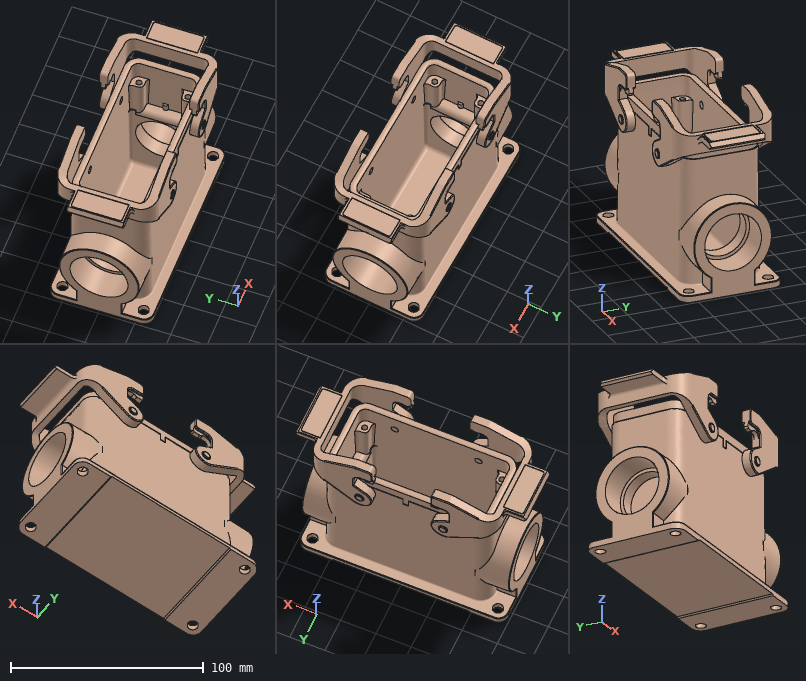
import cadquery as cq
import math

PLATE_LENGTH = 117.3
PLATE_WIDTH = 57.0
PLATE_HEIGHT = 3.8
PLATE_CORNER = 5.6
PLATE_EDGE = 0.4
UNDERCUT_LENGTH = 77.8
UNDERCUT_DEPTH = 0.8
MOUNT_HOLE_DIAMETER = 5.6
MOUNT_HOLE_X = 52.5
MOUNT_HOLE_Y = 22.4

BODY_HALF_X = 47.5
BODY_HALF_Y = 22.4
BODY_CORNER = 8.0
BODY_DRAFT = 0.5
BODY_TOP_Z = 75.0
FOOT_RADIUS = 0.9
COLLAR_HALF_X = 46.3
COLLAR_HALF_Y = 21.5
COLLAR_CORNER = 7.9
RIM_TOP_Z = 80.9
RIM_CROWN_DIAMETER = 7.0
WALL = 3.7
NOTCH_WIDTH = 3.1
NOTCH_BOTTOM_Z = 70.4

CAVITY_HALF_X = COLLAR_HALF_X - WALL
CAVITY_HALF_Y = COLLAR_HALF_Y - WALL
CAVITY_CORNER = COLLAR_CORNER - WALL
CAVITY_DRAFT = 1.0
LEDGE_Z = 48.2
LEDGE_ROUNDING = 3.3
FLOOR_Z = 3.9
FLOOR_RADIUS = 2.7
POCKET_HALF_X = 35.6
POCKET_CORNER = 1.3

BOSS_INNER_X = 36.0
BOSS_INNER_Y = 10.3
BOSS_TOP_Z = 69.0
BOSS_ROUNDING = 2.6
BOSS_ROOT_RADIUS = 2.1
SCREW_HOLE_DIAMETER = 3.0
SCREW_HOLE_DEPTH = 10.5
SCREW_TIP_ANGLE = 118.0
SCREW_X = 38.9
SCREW_Y = 13.5
POST_DIAMETER = 3.3
POST_HEIGHT = 3.9

PORT_AXIS_Z = 30.0
PORT_END_RADIUS = 22.0
PORT_DRAFT = 1.0
PORT_END_CHAMFER = 0.4
PEDESTAL_WIDTH = 24.9
PORT_BORE_DIAMETER = 32.0
PORT_BORE_DEPTH = 15.6
PORT_HOLE_DIAMETER = 28.0

PIN_X = 23.7
PIN_Z = 70.8
PIN_DIAMETER = 4.0
PIN_INNER_Y = 17.7
PIN_OUTER_Y = 28.1
PIN_RING_DIAMETER = 5.1
PIN_RING_DEPTH = 0.5
PIVOT_PAD_DIAMETER = 5.6
LOBE_RADIUS = 7.0
LOBE_MID_ANGLE = 45.0
ARM_INNER_Y = 22.5
ARM_OUTER_Y = 27.8
ARM_EDGE = 0.5
LEVER_TOP_Z = 98.8
HOOK_X = 16.6
HOOK_CORNER = 2.2
HOOK_BACK_RADIUS = 2.6
HOOK_NOSE_CHAMFER = 1.3
HOOK_BOTTOM_Z = 89.8
HOOK_SLOT_DIAMETER = 7.0
HOOK_SLOT_RADIUS = HOOK_SLOT_DIAMETER / 2
THROAT_X = 27.0
THROAT_BOTTOM_Z = 80.6
LIP_THICKNESS = 2.6
LIP_X = 16.1
LIP_BOTTOM_Z = 86.9
LIP_ROOF_Z = 88.2
LIP_TIP_SLANT = 0.5
LIP_BEAD_END_X = 20.4
LIP_ROOF_START_X = 22.3
LIP_ROOT_RADIUS = 2.9
BOW_OUTER_X = 53.0
BOW_INNER_X = 49.2
BOW_TOP_Z = 91.4
BOW_BOTTOM_Z = 80.9
BEND_RADIUS = 9.4
BEND_X = BOW_OUTER_X - BEND_RADIUS
BEND_Y = ARM_OUTER_Y - BEND_RADIUS
BEND_RAIL_POINTS = 9

TAB_TIP_X = 65.5
TAB_TIP_Z = 89.0
TAB_TOP_END_X = 63.7
TAB_BOTTOM_END_X = 64.3
TAB_BOTTOM_Z = 87.7
TAB_HALF_WIDTH = 15.6
TAB_CORNER = 1.3
TAB_TOP_EDGE = 0.4
TAB_ROOT_RADIUS = 2.0
TAB_UNDER_RADIUS = 1.6
PANEL_START_X = 51.8
PANEL_END_X = 63.0
PANEL_HALF_WIDTH = 14.0
PANEL_DEPTH = 0.4

SIDES = (-1, 1)
CORNERS = [(x_side, y_side) for x_side in SIDES for y_side in SIDES]
MARGIN = 1.3
NEAR = 0.1


def rounded_block(half_x, half_y, corner, bottom_z, top_z, draft=0.0):
    """A centred block with rounded corners; a positive draft narrows it upwards."""
    outline = cq.Sketch().rect(2 * half_x, 2 * half_y).vertices().fillet(corner)
    plane = cq.Workplane("XY").workplane(offset=bottom_z)
    return plane.placeSketch(outline).extrude(top_z - bottom_z, taper=draft)


def centred_box(length, width, bottom_z, top_z, x=0.0, y=0.0):
    box = cq.Workplane("XY").box(length, width, top_z - bottom_z, centered=(True, True, False))
    return box.translate((x, y, bottom_z))


def upright_cylinder(diameter, bottom_z, top_z, x, y):
    plane = cq.Workplane("XY").workplane(offset=bottom_z).center(x, y)
    return plane.circle(diameter / 2).extrude(top_z - bottom_z)


def y_cylinder(diameter, x, z, start_y, end_y):
    plane = cq.Workplane("XZ", origin=(x, start_y, z))
    return plane.circle(diameter / 2).extrude(start_y - end_y)




def make_plate():
    plate = rounded_block(PLATE_LENGTH / 2, PLATE_WIDTH / 2, PLATE_CORNER, 0, PLATE_HEIGHT)
    plate = plate.faces(">Z").edges().chamfer(PLATE_EDGE)
    undercut = (
        cq.Workplane("XZ")
        .moveTo(-UNDERCUT_LENGTH / 2, 0)
        .lineTo(UNDERCUT_LENGTH / 2, 0)
        .lineTo(UNDERCUT_LENGTH / 2 - UNDERCUT_DEPTH, UNDERCUT_DEPTH)
        .lineTo(-UNDERCUT_LENGTH / 2 + UNDERCUT_DEPTH, UNDERCUT_DEPTH)
        .close()
        .extrude(PLATE_WIDTH, both=True)
    )
    return plate.cut(undercut)


def make_walls():
    """Plate and solid body, with a rounded transition between them."""
    body = rounded_block(BODY_HALF_X, BODY_HALF_Y, BODY_CORNER, PLATE_HEIGHT, BODY_TOP_Z, BODY_DRAFT)
    walls = make_plate().union(body)
    foot_edges = cq.selectors.BoxSelector(
        (-BODY_HALF_X - MARGIN, -BODY_HALF_Y - MARGIN, PLATE_HEIGHT - NEAR),
        (BODY_HALF_X + MARGIN, BODY_HALF_Y + MARGIN, PLATE_HEIGHT + NEAR),
    )
    return walls.edges(foot_edges).fillet(FOOT_RADIUS)


def make_collar():
    """Straight collar above the drafted body, its rim crowned by an arc."""
    crown_axis_z = RIM_TOP_Z - RIM_CROWN_DIAMETER / 2
    collar = rounded_block(COLLAR_HALF_X, COLLAR_HALF_Y, COLLAR_CORNER, BODY_TOP_Z - MARGIN, crown_axis_z)
    crown = rounded_block(COLLAR_HALF_X, COLLAR_HALF_Y, COLLAR_CORNER, crown_axis_z, RIM_TOP_Z)
    axis_half_x = COLLAR_HALF_X - WALL / 2
    axis_half_y = COLLAR_HALF_Y - WALL / 2
    axis_corner = COLLAR_CORNER - WALL / 2
    axis = rounded_block(axis_half_x, axis_half_y, axis_corner, crown_axis_z, RIM_TOP_Z).faces("<Z").wires()
    bead = (
        cq.Workplane("XZ", origin=(0, -axis_half_y, crown_axis_z))
        .transformed(rotate=(0, 90, 0))
        .circle(RIM_CROWN_DIAMETER / 2)
        .sweep(cq.Workplane(axis.val()))
    )
    return collar.union(crown.intersect(bead))


def make_port():
    """Drafted port tube of the +X end on its pedestal, still without its bore."""
    end_x = PLATE_LENGTH / 2
    length = end_x - BODY_HALF_X + BODY_CORNER
    tube = (
        cq.Workplane("YZ", origin=(end_x, 0, PORT_AXIS_Z))
        .circle(PORT_END_RADIUS)
        .extrude(-length, taper=-PORT_DRAFT)
    )
    pedestal = centred_box(length, PEDESTAL_WIDTH, 0, PORT_AXIS_Z, x=end_x - length / 2)
    port = tube.union(pedestal)
    above_bottom = cq.selectors.BoxSelector(
        (end_x - NEAR, -BODY_HALF_Y, NEAR),
        (end_x + NEAR, BODY_HALF_Y, RIM_TOP_Z),
    )
    return port.faces(">X").edges(above_bottom).chamfer(PORT_END_CHAMFER)


def make_cavity():
    collar_part = rounded_block(
        CAVITY_HALF_X, CAVITY_HALF_Y, CAVITY_CORNER, BODY_TOP_Z, RIM_TOP_Z + MARGIN
    )
    narrowing = (BODY_TOP_Z - LEDGE_Z) * math.tan(math.radians(CAVITY_DRAFT))
    upper = rounded_block(
        CAVITY_HALF_X - narrowing, CAVITY_HALF_Y - narrowing, CAVITY_CORNER - narrowing,
        LEDGE_Z, BODY_TOP_Z, -CAVITY_DRAFT,
    )
    pocket_narrowing = (LEDGE_Z - FLOOR_Z) * math.tan(math.radians(CAVITY_DRAFT))
    pocket = rounded_block(
        POCKET_HALF_X - pocket_narrowing, CAVITY_HALF_Y - narrowing - pocket_narrowing, POCKET_CORNER,
        FLOOR_Z, LEDGE_Z, -CAVITY_DRAFT,
    )
    pocket = pocket.faces("<Z").edges().fillet(FLOOR_RADIUS)
    return collar_part.union(upper).union(pocket)


def make_ledge_rounding():
    """Material to remove from the edge of the +X ledge to round it between the screw bosses."""
    length = BOSS_INNER_Y + CAVITY_HALF_Y
    corner_block = centred_box(
        2 * LEDGE_ROUNDING, length, LEDGE_Z - LEDGE_ROUNDING, LEDGE_Z + LEDGE_ROUNDING, x=POCKET_HALF_X
    )
    rounding = y_cylinder(
        2 * LEDGE_ROUNDING, POCKET_HALF_X + LEDGE_ROUNDING, LEDGE_Z - LEDGE_ROUNDING, -length, length
    )
    return corner_block.cut(rounding)


def make_screw_boss():
    """Corner boss at +X, +Y, flared where it joins the walls; its outer sides sink into them."""
    outer_x = CAVITY_HALF_X + WALL / 4
    outer_y = CAVITY_HALF_Y + WALL / 4
    bottom_z = LEDGE_Z - LEDGE_ROUNDING
    return (
        cq.Workplane("XY", origin=(0, 0, bottom_z))
        .moveTo(BOSS_INNER_X - BOSS_ROOT_RADIUS, outer_y)
        .lineTo(outer_x, outer_y)
        .lineTo(outer_x, BOSS_INNER_Y - BOSS_ROOT_RADIUS)
        .lineTo(CAVITY_HALF_X, BOSS_INNER_Y - BOSS_ROOT_RADIUS)
        .radiusArc((CAVITY_HALF_X - BOSS_ROOT_RADIUS, BOSS_INNER_Y), -BOSS_ROOT_RADIUS)
        .lineTo(BOSS_INNER_X + BOSS_ROUNDING, BOSS_INNER_Y)
        .radiusArc((BOSS_INNER_X, BOSS_INNER_Y + BOSS_ROUNDING), BOSS_ROUNDING)
        .lineTo(BOSS_INNER_X, CAVITY_HALF_Y - BOSS_ROOT_RADIUS)
        .radiusArc((BOSS_INNER_X - BOSS_ROOT_RADIUS, CAVITY_HALF_Y), -BOSS_ROOT_RADIUS)
        .close()
        .extrude(BOSS_TOP_Z - bottom_z)
    )


def make_screw_hole():
    radius = SCREW_HOLE_DIAMETER / 2
    tip_depth = radius / math.tan(math.radians(SCREW_TIP_ANGLE / 2))
    return (
        cq.Workplane("XZ")
        .polyline([
            (0, BOSS_TOP_Z),
            (radius, BOSS_TOP_Z),
            (radius, BOSS_TOP_Z - SCREW_HOLE_DEPTH),
            (0, BOSS_TOP_Z - SCREW_HOLE_DEPTH - tip_depth),
        ])
        .close()
        .revolve(360, (0, 0, 0), (0, 1, 0))
        .translate((SCREW_X, SCREW_Y, 0))
    )


def mirrored(shape, x_side, y_side):
    """Moves a shape from the +X, +Y quarter to the given quarter."""
    if x_side < 0:
        shape = shape.mirror("YZ")
    if y_side < 0:
        shape = shape.mirror("XZ")
    return shape


def make_housing():
    housing = make_walls().union(make_collar())
    for side in SIDES:
        housing = housing.union(mirrored(make_port(), side, 1))
    housing = housing.cut(make_cavity())
    for side in SIDES:
        housing = housing.cut(mirrored(make_ledge_rounding(), side, 1))

    bore_start_x = PLATE_LENGTH / 2 - PORT_BORE_DEPTH
    port_plane = cq.Workplane("YZ", origin=(0, 0, PORT_AXIS_Z))
    housing = housing.cut(port_plane.circle(PORT_HOLE_DIAMETER / 2).extrude(PLATE_LENGTH / 2, both=True))
    bore = port_plane.workplane(offset=bore_start_x).circle(PORT_BORE_DIAMETER / 2).extrude(PORT_BORE_DEPTH)
    for side in SIDES:
        housing = housing.cut(mirrored(bore, side, 1))
        post = upright_cylinder(
            POST_DIAMETER, LEDGE_Z - MARGIN, LEDGE_Z + POST_HEIGHT, side * CAVITY_HALF_X, 0
        )
        housing = housing.union(post)

    notch_y = COLLAR_HALF_Y + BODY_HALF_Y / 2
    notch = centred_box(NOTCH_WIDTH, BODY_HALF_Y, NOTCH_BOTTOM_Z, BODY_TOP_Z, y=notch_y)
    for y_side in SIDES:
        housing = housing.cut(mirrored(notch, 1, y_side))

    for x_side, y_side in CORNERS:
        housing = housing.union(mirrored(make_screw_boss(), x_side, y_side))
        housing = housing.cut(mirrored(make_screw_hole(), x_side, y_side))
        mount_hole = upright_cylinder(
            MOUNT_HOLE_DIAMETER, 0, PLATE_HEIGHT, x_side * MOUNT_HOLE_X, y_side * MOUNT_HOLE_Y
        )
        housing = housing.cut(mount_hole)
        pivot_pad = y_cylinder(PIVOT_PAD_DIAMETER, PIN_X, PIN_Z, COLLAR_HALF_Y, ARM_INNER_Y)
        housing = housing.union(mirrored(pivot_pad, x_side, y_side))
        pin_hole = y_cylinder(PIN_DIAMETER, PIN_X, PIN_Z, 0, ARM_INNER_Y)
        housing = housing.cut(mirrored(pin_hole, x_side, y_side))
    return housing




def lobe_tangent(x, z, turn):
    """Point where a line from (x, z) touches the lobe; turn is +1 for the upper and -1 for the lower side."""
    to_centre_x = -PIN_X - x
    to_centre_z = PIN_Z - z
    distance = math.hypot(to_centre_x, to_centre_z)
    direction = math.atan2(to_centre_z, to_centre_x) + turn * math.asin(LOBE_RADIUS / distance)
    reach = math.sqrt(distance**2 - LOBE_RADIUS**2)
    return x + reach * math.cos(direction), z + reach * math.sin(direction)


def top_edge_z(x):
    """Height of the sloping upper edge of a lever arm."""
    return BOW_TOP_Z + (x + BOW_OUTER_X) * (LEVER_TOP_Z - BOW_TOP_Z) / (BOW_OUTER_X - THROAT_X)


def bottom_edge_z(x):
    """Height of the lower edge of a lever arm, which runs tangent to the lobe."""
    touch_x, touch_z = lobe_tangent(-BOW_OUTER_X, BOW_BOTTOM_Z, -1)
    return BOW_BOTTOM_Z + (x + BOW_OUTER_X) * (touch_z - BOW_BOTTOM_Z) / (touch_x + BOW_OUTER_X)


def make_arm_plate():
    """Flat part of the +Y arm: lobe, throat and open hook, with its outer edges chamfered."""
    near_bottom = math.radians(LOBE_MID_ANGLE)
    plate = (
        cq.Workplane("XZ", origin=(0, ARM_INNER_Y, 0))
        .moveTo(-THROAT_X, THROAT_BOTTOM_Z)
        .lineTo(*lobe_tangent(-THROAT_X, THROAT_BOTTOM_Z, 1))
        .threePointArc(
            (-PIN_X + LOBE_RADIUS * math.cos(near_bottom), PIN_Z - LOBE_RADIUS * math.sin(near_bottom)),
            lobe_tangent(-BOW_OUTER_X, BOW_BOTTOM_Z, -1),
        )
        .lineTo(-BEND_X, bottom_edge_z(-BEND_X))
        .lineTo(-BEND_X, top_edge_z(-BEND_X))
        .lineTo(-THROAT_X, LEVER_TOP_Z)
        .lineTo(-HOOK_X - HOOK_CORNER, LEVER_TOP_Z)
        .tangentArcPoint((-HOOK_X, LEVER_TOP_Z - HOOK_CORNER), relative=False)
        .lineTo(-HOOK_X, HOOK_BOTTOM_Z + HOOK_NOSE_CHAMFER)
        .lineTo(-HOOK_X - HOOK_NOSE_CHAMFER, HOOK_BOTTOM_Z)
        .lineTo(-THROAT_X + HOOK_SLOT_RADIUS, HOOK_BOTTOM_Z)
        .tangentArcPoint((-THROAT_X, HOOK_BOTTOM_Z - HOOK_SLOT_RADIUS), relative=False)
        .close()
        .extrude(ARM_INNER_Y - ARM_OUTER_Y)
    )
    hook_back = cq.selectors.NearestToPointSelector((-THROAT_X, ARM_INNER_Y, LEVER_TOP_Z))
    plate = plate.edges("|Y").edges(hook_back).fillet(HOOK_BACK_RADIUS)
    return plate.faces(">Y").edges("not <X").chamfer(ARM_EDGE)


def make_lip():
    """Catching lip: a thin rib half-way through the +Y arm, under its hook."""
    start_y = (ARM_INNER_Y + ARM_OUTER_Y - LIP_THICKNESS) / 2
    back_x = -THROAT_X - MARGIN
    return (
        cq.Workplane("XZ", origin=(0, start_y, 0))
        .moveTo(back_x, HOOK_BOTTOM_Z + HOOK_NOSE_CHAMFER)
        .lineTo(-HOOK_X, HOOK_BOTTOM_Z + HOOK_NOSE_CHAMFER)
        .lineTo(-LIP_X, LIP_ROOF_Z)
        .lineTo(-LIP_X - LIP_TIP_SLANT, LIP_BOTTOM_Z)
        .lineTo(-LIP_BEAD_END_X, LIP_BOTTOM_Z)
        .lineTo(-LIP_ROOF_START_X, LIP_ROOF_Z)
        .lineTo(-THROAT_X + LIP_ROOT_RADIUS, LIP_ROOF_Z)
        .tangentArcPoint((-THROAT_X, LIP_ROOF_Z - LIP_ROOT_RADIUS), relative=False)
        .lineTo(back_x, LIP_ROOF_Z - LIP_ROOT_RADIUS)
        .close()
        .extrude(-LIP_THICKNESS)
    )


def bend_rail(radius_x, radius_y, edge_z):
    """Curved edge of the bend; edge_z gives its height from the outer face at the same turning angle."""
    points = []
    for step in range(BEND_RAIL_POINTS):
        angle = math.radians(90) * step / (BEND_RAIL_POINTS - 1)
        height = edge_z(-BEND_X - BEND_RADIUS * math.sin(angle))
        points.append(cq.Vector(
            -BEND_X - radius_x * math.sin(angle), BEND_Y + radius_y * math.cos(angle), height
        ))
    return cq.Edge.makeSpline(points)


def make_bend():
    """Quarter bend from the +Y arm to the bow, its upper and lower faces ruled straight across."""
    inner_radii = (BOW_INNER_X - BEND_X, ARM_INNER_Y - BEND_Y)
    outer_radii = (BEND_RADIUS, BEND_RADIUS)
    rails = [
        bend_rail(*outer_radii, bottom_edge_z),
        bend_rail(*outer_radii, top_edge_z),
        bend_rail(*inner_radii, top_edge_z),
        bend_rail(*inner_radii, bottom_edge_z),
    ]
    faces = [cq.Face.makeRuledSurface(rails[i - 1], rails[i]) for i in range(len(rails))]
    for end in (0, 1):
        corners = [rail.positionAt(end) for rail in rails]
        faces.append(cq.Face.makeFromWires(cq.Wire.makePolygon(corners, close=True)))
    return cq.Workplane(cq.Solid.makeSolid(cq.Shell.makeShell(faces)))


def make_tab():
    """Finger tab with a bevelled tip, a fillet under its root and a sunk panel on top."""
    profile = (
        cq.Workplane("XZ")
        .moveTo(-BOW_INNER_X, TAB_BOTTOM_Z)
        .lineTo(-TAB_BOTTOM_END_X, TAB_BOTTOM_Z)
        .lineTo(-TAB_TIP_X, TAB_TIP_Z)
        .lineTo(-TAB_TOP_END_X, BOW_TOP_Z)
        .lineTo(-BOW_INNER_X, BOW_TOP_Z)
        .close()
        .extrude(TAB_HALF_WIDTH, both=True)
    )
    outline = centred_box(
        TAB_TIP_X - BOW_INNER_X, 2 * TAB_HALF_WIDTH, TAB_BOTTOM_Z, BOW_TOP_Z, x=-(TAB_TIP_X + BOW_INNER_X) / 2
    )
    outline = outline.edges("|Z and <X").fillet(TAB_CORNER)
    tab = profile.intersect(outline)
    return tab.faces(">Z").edges("|X").chamfer(TAB_TOP_EDGE)


def make_lever():
    """Lever of the -X side: two hooked arms with pins, joined by a bow with a finger tab."""
    bow_x = -(BOW_OUTER_X + BOW_INNER_X) / 2
    lever = centred_box(BOW_OUTER_X - BOW_INNER_X, 2 * BEND_Y, BOW_BOTTOM_Z, BOW_TOP_Z, x=bow_x)
    lever = lever.union(make_tab())
    root = cq.selectors.BoxSelector(
        (-BOW_OUTER_X - NEAR, -TAB_HALF_WIDTH - NEAR, TAB_BOTTOM_Z - NEAR),
        (-BOW_OUTER_X + NEAR, TAB_HALF_WIDTH + NEAR, BOW_TOP_Z - NEAR),
    )
    lever = lever.edges(root).edges("|Z").fillet(TAB_ROOT_RADIUS)
    lever = lever.edges(root).edges("|Y").fillet(TAB_UNDER_RADIUS)
    panel = centred_box(
        PANEL_END_X - PANEL_START_X, 2 * PANEL_HALF_WIDTH, BOW_TOP_Z - PANEL_DEPTH, BOW_TOP_Z + MARGIN,
        x=-(PANEL_START_X + PANEL_END_X) / 2,
    )
    lever = lever.cut(panel.edges("|Z and <X").fillet(TAB_CORNER))

    arm = make_arm_plate().union(make_lip()).union(make_bend())
    arm = arm.cut(
        y_cylinder(PIN_RING_DIAMETER, -PIN_X, PIN_Z, ARM_OUTER_Y - PIN_RING_DEPTH, ARM_OUTER_Y)
    )
    arm = arm.union(y_cylinder(PIN_DIAMETER, -PIN_X, PIN_Z, PIN_INNER_Y, PIN_OUTER_Y))
    for y_side in SIDES:
        lever = lever.union(mirrored(arm, 1, y_side))
    return lever


housing = make_housing()
levers = [make_lever().rotate((0, 0, 0), (0, 0, 1), turn) for turn in (0, 180)]

result = cq.Compound.makeCompound([housing.val(), *[lever.val() for lever in levers]])